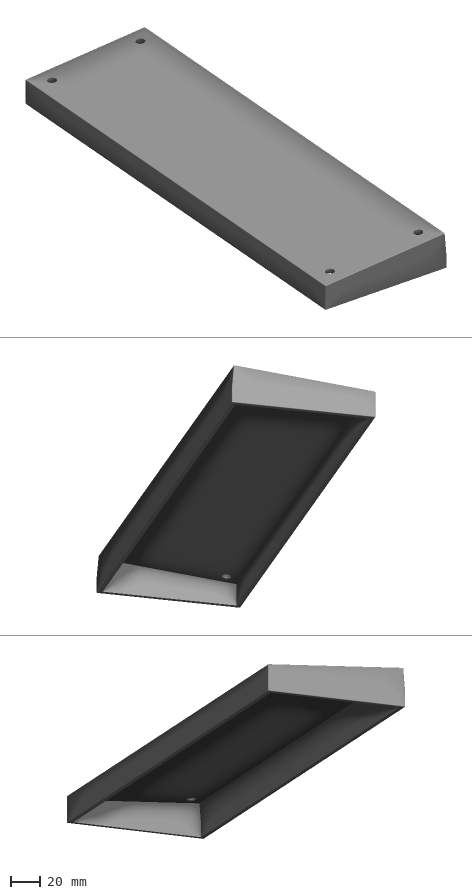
import cadquery as cq
import math

length = 354.7
depth = 102.0
front_height = 19.0
slope = math.radians(4.94)
wall = 3.5
edge_radius = 0.5
lean_length = 17.0
hole_diameter = 6.7
hole_span_x = 328.5
hole_span_y = 74.5
front_hole_inset = 13.0

back_edge_y = depth - lean_length * math.sin(slope)
back_height = front_height + back_edge_y * math.tan(slope)
lean_foot_height = back_height - lean_length * math.cos(slope)

side_profile = [
    (0, 0),
    (depth, 0),
    (depth, lean_foot_height),
    (back_edge_y, back_height),
    (0, front_height),
]


def wedge():
    """Solid wedge with sharp edges."""
    return cq.Workplane("YZ").polyline(side_profile).close().extrude(length)


cavity = wedge().cut(wedge().faces("<Z").shell(-wall))

cover = wedge().edges().fillet(edge_radius).cut(cavity)

hole_centers = [
    (x, y)
    for x in ((length - hole_span_x) / 2, (length + hole_span_x) / 2)
    for y in (front_hole_inset, front_hole_inset + hole_span_y)
]
screw_holes = cq.Workplane("XY").pushPoints(hole_centers).circle(hole_diameter / 2).extrude(back_height)

result = cover.cut(screw_holes)